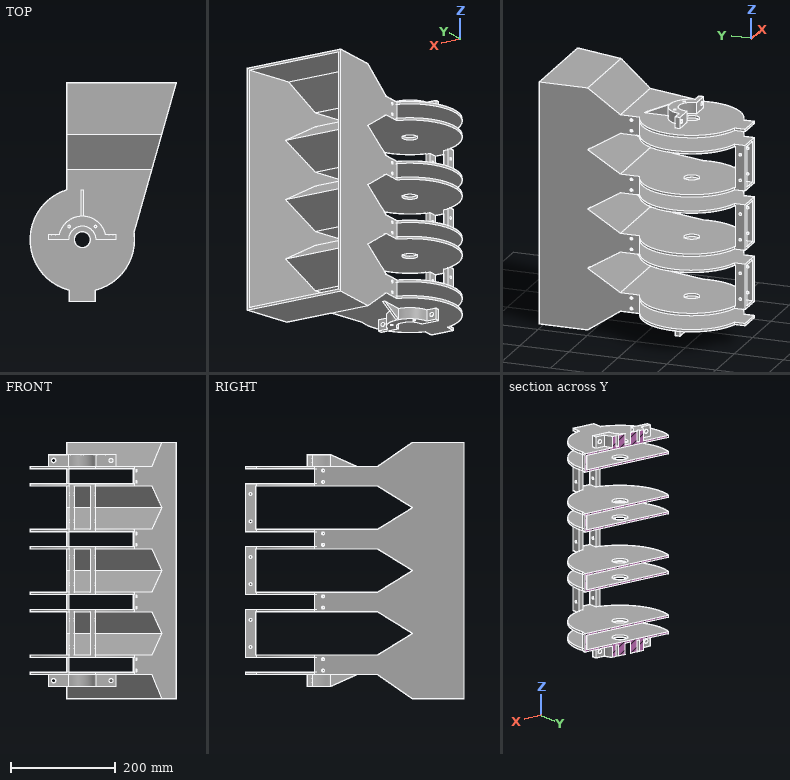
import cadquery as cq
import math


hood_height = 490.0
through_height = 2 * hood_height
wall = 5.0
branch_count = 4
branch_pitch = 120.0
branch_height = 37.5
branch_levels = [(i - (branch_count - 1) / 2) * branch_pitch for i in range(branch_count)]
gap_levels = [(low + high) / 2 for low, high in zip(branch_levels, branch_levels[1:])]
gap_height = branch_pitch - branch_height
stack_top = branch_levels[-1] + branch_height / 2

disk_radius = 100.0
shaft_hole_diameter = 30.0
back_y = 300.0
left_x = -30.0
right_x_at_axis = 95.0
right_x_at_back = 180.0
tab_half_width = 25.0
tab_front_y = -118.0

hood_front_y = 201.0
branch_back_y = 134.5

post_width = 10.0
post_depth = 20.0
post_hole_spacing = 52.0

small_hole_diameter = 5.0
wall_hole_setback = 16.5
wall_hole_spacing = 21.5

bracket_height = 22.5
bracket_outer_radius = 45.0
bracket_inner_radius = 26.0
ear_reach = 64.5
ear_thickness = 10.0
ear_hole_x = 55.0
ear_hole_diameter = 8.0
rib_thickness = 5.0
rib_end_y = 95.0

slant_angle = math.atan2(right_x_at_back - right_x_at_axis, back_y)
wall_run_x = wall / math.cos(slant_angle)

left_end_y = math.sqrt(disk_radius**2 - left_x**2)
axis_to_slant = right_x_at_axis * math.cos(slant_angle)
right_end_along = math.sqrt(disk_radius**2 - axis_to_slant**2) - right_x_at_axis * math.sin(slant_angle)


def block(x0, x1, y0, y1, z0, z1):
    return cq.Workplane("XY").box(x1 - x0, y1 - y0, z1 - z0, centered=False).translate((x0, y0, z0))


def slant_x(y):
    """X of the outer face of the slanted wall at a given Y."""
    return right_x_at_axis + y * math.tan(slant_angle)


def duct_plan(inset, inset_x, end_y):
    """Full-height prism of the duct outline, from the axis to end_y."""
    return (
        cq.Workplane("XY").workplane(offset=-through_height / 2)
        .moveTo(left_x + inset, 0)
        .lineTo(slant_x(0) - inset_x, 0)
        .lineTo(slant_x(end_y) - inset_x, end_y)
        .lineTo(left_x + inset, end_y)
        .close()
        .extrude(through_height)
    )


def side_prism(front_y, end_y, inset):
    """Side profile: parallel branches that flare into the hood, inset by a wall thickness."""
    outline = [(end_y, -hood_height / 2), (hood_front_y, -hood_height / 2)]
    for level in branch_levels:
        low = level - branch_height / 2
        high = level + branch_height / 2
        outline += [(branch_back_y, low), (front_y, low), (front_y, high), (branch_back_y, high)]
        if level != branch_levels[-1]:
            outline.append((hood_front_y, level + branch_pitch / 2))
    outline += [(hood_front_y, hood_height / 2), (end_y, hood_height / 2)]
    profile = cq.Workplane("YZ").workplane(offset=-through_height / 2).polyline(outline).close()
    if inset:
        profile = profile.offset2D(-inset, "intersection")
    return profile.extrude(through_height)


def disk_prism():
    return cq.Workplane("XY").circle(disk_radius).extrude(through_height / 2, both=True)


def make_duct():
    """Shell of plates, walls and hood, open at the back and around the disks."""
    tab = block(-tab_half_width, tab_half_width, tab_front_y, 0, -through_height / 2, through_height / 2)
    plan = duct_plan(0, 0, back_y).union(disk_prism()).union(tab)
    body = side_prism(tab_front_y, back_y, 0).intersect(plan)

    passage = duct_plan(wall, wall_run_x, back_y + wall).union(disk_prism()).union(tab)
    cavity = side_prism(tab_front_y - 2 * wall, back_y + 2 * wall, wall).intersect(passage)
    return body.cut(cavity)


def make_posts():
    posts = cq.Workplane("XY")
    for level in gap_levels:
        for x0 in (-tab_half_width, tab_half_width - post_width):
            posts = posts.union(block(
                x0, x0 + post_width, tab_front_y, tab_front_y + post_depth,
                level - gap_height / 2 - wall, level + gap_height / 2 + wall,
            ))
    holes = (
        cq.Workplane("YZ")
        .pushPoints([
            (tab_front_y + post_depth / 2, level + side * post_hole_spacing / 2)
            for level in gap_levels for side in (-1, 1)
        ])
        .circle(small_hole_diameter / 2)
        .extrude(2 * tab_half_width, both=True)
    )
    return posts.cut(holes)


def make_top_bracket():
    z0 = stack_top
    z1 = stack_top + bracket_height
    front_half = block(-ear_reach, ear_reach, -ear_reach, 0, z0, z1)
    bracket = (
        cq.Workplane("XY").workplane(offset=z0).circle(bracket_outer_radius).extrude(bracket_height)
        .union(block(-ear_reach, ear_reach, 0, ear_thickness, z0, z1))
        .cut(front_half)
        .cut(cq.Workplane("XY").workplane(offset=z0).circle(bracket_inner_radius).extrude(bracket_height))
    )

    ring_mid_radius = (bracket_outer_radius + bracket_inner_radius) / 2
    rib = (
        cq.Workplane("YZ").workplane(offset=-rib_thickness / 2)
        .polyline([(ring_mid_radius, z0), (rib_end_y, z0), (bracket_outer_radius, z1), (ring_mid_radius, z1)])
        .close()
        .extrude(rib_thickness)
    )

    ear_holes = (
        cq.Workplane("XZ")
        .pushPoints([(-ear_hole_x, (z0 + z1) / 2), (ear_hole_x, (z0 + z1) / 2)])
        .circle(ear_hole_diameter / 2)
        .extrude(-ear_thickness)
    )
    ring_hole_xy = ring_mid_radius * math.sqrt(0.5)
    ring_holes = (
        cq.Workplane("XY").workplane(offset=z0)
        .pushPoints([(-ring_hole_xy, ring_hole_xy), (ring_hole_xy, ring_hole_xy)])
        .circle(small_hole_diameter / 2)
        .extrude(bracket_height)
    )
    return bracket.union(rib).cut(ear_holes).cut(ring_holes)


def wall_hole_cutter(x, y, angle):
    """Two small holes per branch through the wall at (x, y), square to the wall face."""
    heights = [level + side * wall_hole_spacing / 2 for level in branch_levels for side in (-1, 1)]
    return (
        cq.Workplane("YZ")
        .pushPoints([(0, z) for z in heights])
        .circle(small_hole_diameter / 2)
        .extrude(2 * wall, both=True)
        .rotate((0, 0, 0), (0, 0, 1), -math.degrees(angle))
        .translate((x, y, 0))
    )


def make_wall_holes():
    right_hole_y = (right_end_along + wall_hole_setback) * math.cos(slant_angle)
    left = wall_hole_cutter(left_x, left_end_y + wall_hole_setback, 0)
    right = wall_hole_cutter(slant_x(right_hole_y), right_hole_y, slant_angle)
    return left.union(right)


top_bracket = make_top_bracket()
shaft_hole = cq.Workplane("XY").circle(shaft_hole_diameter / 2).extrude(through_height / 2, both=True)

result = (
    make_duct()
    .union(make_posts())
    .union(top_bracket)
    .union(top_bracket.mirror("XY"))
    .cut(make_wall_holes())
    .cut(shaft_hole)
)